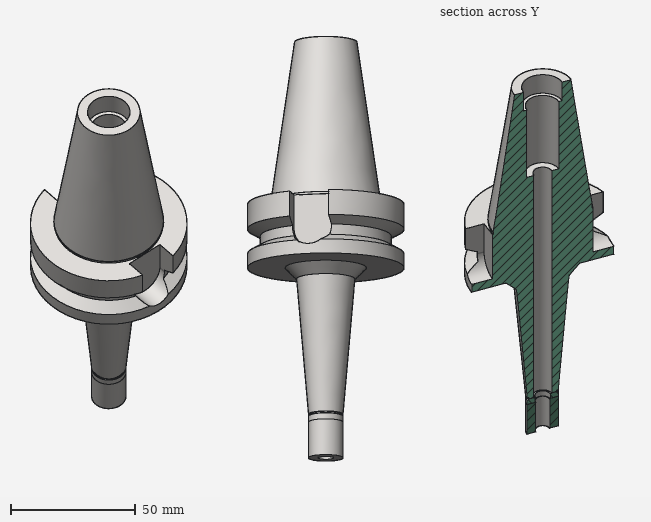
import cadquery as cq

total_height = 170.4
tip_height = 14.7
ring_height = 2.5
relief_height = 0.7
ring_top = tip_height + ring_height
shank_bottom = ring_top + relief_height
shank_top = 73.3

nose_radius = 7.0
ring_bore_radius = 3.2
tip_bore_radius = 3.0

relief_radius = 6.3
shank_bottom_radius = nose_radius
shank_top_radius = 11.8
flange_bottom = 77.9
shoulder_radius = shank_top_radius + (flange_bottom - shank_top)

flange_radius = 31.5
flange_top = 104.0
groove_radius = 26.4
lower_rim_top = 83.7
groove_floor_bottom = 86.5
groove_floor_top = 90.8
upper_rim_bottom = groove_floor_top + (groove_floor_bottom - lower_rim_top)

neck_radius = 22.0
gauge_height = 105.0
gauge_radius = 22.2
taper_per_length = 7 / 24
taper_top_radius = gauge_radius - (total_height - gauge_height) * taper_per_length / 2

counterbore_radius = 8.5
counterbore_depth = 9.2
thread_bore_radius = 7.0
thread_bore_depth = 42.6
coolant_bore_radius = 4.0

slot_width = 16.0
slot_bottom = 82.0
slot_floor_distance = 22.3


def revolve_profile(points):
    """Revolve a closed (radius, height) outline around the Z axis."""
    return cq.Workplane("YZ").polyline(points).close().revolve(360, (0, 0, 0), (0, 1, 0))


def bore(radius, bottom, top):
    """Cylinder on the Z axis between two heights."""
    return cq.Workplane("XY").workplane(offset=bottom).circle(radius).extrude(top - bottom)


def key_slot(side):
    """Cutter for the slot on the +X (side = 1) or -X (side = -1) flank."""
    slot_radius = slot_width / 2
    arc_center = slot_bottom + slot_radius
    outline = (
        cq.Workplane("YZ", origin=(side * slot_floor_distance, 0, 0))
        .moveTo(-slot_radius, flange_top)
        .lineTo(-slot_radius, arc_center)
        .threePointArc((0, slot_bottom), (slot_radius, arc_center))
        .lineTo(slot_radius, flange_top)
        .close()
    )
    return outline.extrude(side * (flange_radius - slot_floor_distance))


def make_holder():
    """Taper, flange and shank in one revolved solid, then slots and bores."""
    holder = revolve_profile([
        (0, ring_top),
        (relief_radius, ring_top),
        (relief_radius, shank_bottom),
        (shank_bottom_radius, shank_bottom),
        (shank_top_radius, shank_top),
        (shoulder_radius, flange_bottom),
        (flange_radius, flange_bottom),
        (flange_radius, lower_rim_top),
        (groove_radius, groove_floor_bottom),
        (groove_radius, groove_floor_top),
        (flange_radius, upper_rim_bottom),
        (flange_radius, flange_top),
        (neck_radius, flange_top),
        (neck_radius, gauge_height),
        (gauge_radius, gauge_height),
        (taper_top_radius, total_height),
        (0, total_height),
    ])
    for side in (-1, 1):
        holder = holder.cut(key_slot(side))
    holder = holder.cut(bore(counterbore_radius, total_height - counterbore_depth, total_height))
    holder = holder.cut(bore(thread_bore_radius, total_height - thread_bore_depth, total_height))
    return holder.cut(bore(coolant_bore_radius, ring_top, total_height))


def make_nose_sleeve(bottom, top, bore_radius):
    """Plain sleeve around the tool bore, used for the ring and the tip."""
    return bore(nose_radius, bottom, top).cut(bore(bore_radius, bottom, top))


holder = make_holder()
ring = make_nose_sleeve(tip_height, ring_top, ring_bore_radius)
tip = make_nose_sleeve(0, tip_height, tip_bore_radius)

result = cq.Compound.makeCompound([holder.val(), ring.val(), tip.val()])